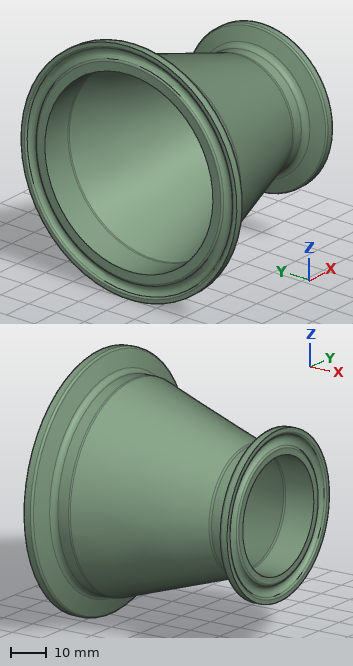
import cadquery as cq
import math

length = 60.0
bend_large_x = 10.6
bend_small_x = 50.0

large_flange_radius = 38.75
large_tube_radius = 31.7
small_flange_radius = 25.3
small_tube_radius = 19.1
wall = 1.55
large_bore_radius = large_tube_radius - wall
small_bore_radius = small_tube_radius - wall

back_face_angle = 20
large_rim_width = 2.7
small_rim_width = 2.5
rim_round = 0.8
small_rim_round = 0.6
large_neck_round = 2.0
small_neck_round = 2.2
large_bend_round = 1.8
small_bend_round = 2.7

large_groove_radius = 35.3
small_groove_radius = 21.7
groove_half_width = 1.7
groove_depth = 1.55
groove_lip_round = 0.7


def rounded_outline(corners):
    """Closed XZ wire from (x, z, corner round) triples; a zero round is sharp."""
    vertices = [cq.Vector(x, 0, z) for x, z, _ in corners]
    edges = []
    spans = []
    for i, corner in enumerate(vertices):
        radius = corners[i][2]
        if radius == 0:
            spans.append((corner, None, corner))
            continue
        before = (vertices[i - 1] - corner).normalized()
        after = (vertices[(i + 1) % len(vertices)] - corner).normalized()
        half_angle = before.getAngle(after) / 2
        setback = radius / math.tan(half_angle)
        bisector = (before + after).normalized()
        middle = corner + bisector * (radius / math.sin(half_angle) - radius)
        spans.append((corner + before * setback, middle, corner + after * setback))
    for i, (start, middle, end) in enumerate(spans):
        edges.append(cq.Edge.makeLine(spans[i - 1][2], start))
        if middle is not None:
            edges.append(cq.Edge.makeThreePointArc(start, middle, end))
    return cq.Wire.assembleEdges(edges)


def back_face_run(flange_radius, tube_radius):
    """Axial length of a flange's sloping back face."""
    return (flange_radius - tube_radius) * math.tan(math.radians(back_face_angle))


def reducer_body():
    large_neck_x = large_rim_width + back_face_run(large_flange_radius, large_tube_radius)
    small_rim_x = length - small_rim_width
    small_neck_x = small_rim_x - back_face_run(small_flange_radius, small_tube_radius)
    corners = [
        (0, large_bore_radius, 0),
        (0, large_flange_radius, 0),
        (large_rim_width, large_flange_radius, rim_round),
        (large_neck_x, large_tube_radius, large_neck_round),
        (bend_large_x, large_tube_radius, large_bend_round),
        (bend_small_x, small_tube_radius, small_bend_round),
        (small_neck_x, small_tube_radius, small_neck_round),
        (small_rim_x, small_flange_radius, small_rim_round),
        (length, small_flange_radius, 0),
        (length, small_bore_radius, 0),
        (bend_small_x, small_bore_radius, small_bend_round),
        (bend_large_x, large_bore_radius, large_bend_round),
    ]
    outline = rounded_outline(corners)
    return cq.Workplane("XZ").add(outline).toPending().revolve(360, (0, 0, 0), (1, 0, 0))


def gasket_groove(face_x, inward, groove_radius):
    """Ring with an arc-shaped section, sunk into an end face."""
    return (
        cq.Workplane("XZ")
        .moveTo(face_x, groove_radius - groove_half_width)
        .threePointArc(
            (face_x + inward * groove_depth, groove_radius),
            (face_x, groove_radius + groove_half_width),
        )
        .close()
        .revolve(360, (0, 0, 0), (1, 0, 0))
    )


def groove_lips(face_x, groove_radius):
    """Selector for the two circular edges where a groove meets its end face."""
    outer = groove_radius + groove_half_width + groove_lip_round / 2
    inner = groove_radius - groove_half_width - groove_lip_round / 2
    return lambda edge: (
        edge.geomType() == "CIRCLE"
        and abs(edge.Center().x - face_x) < groove_lip_round / 2
        and inner < edge.radius() < outer
    )


result = reducer_body()
for face_x, inward, groove_radius in (
    (0, 1, large_groove_radius),
    (length, -1, small_groove_radius),
):
    result = result.cut(gasket_groove(face_x, inward, groove_radius))
    result = result.edges().filter(groove_lips(face_x, groove_radius)).fillet(groove_lip_round)